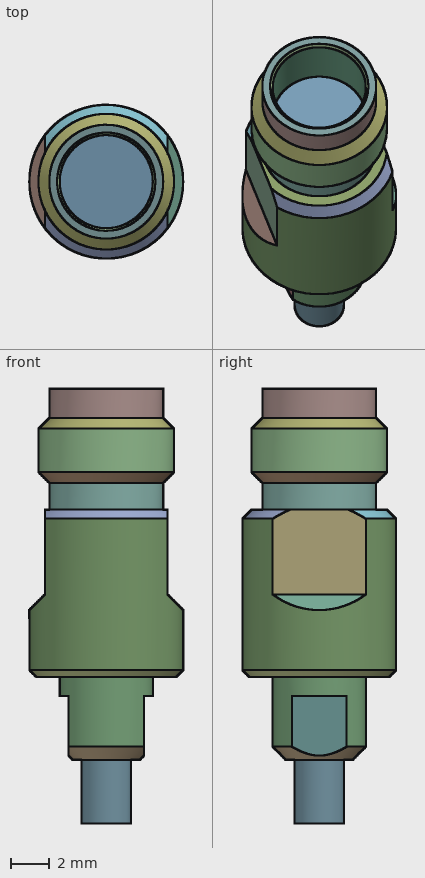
import cadquery as cq

total_height = 22.43
cable_top = 3.3
ferrule_flat_top = 6.57
body_bottom = 7.55
body_flat_bottom = 11.82
body_top = 16.2
collar_bottom = 17.56
collar_top = 20.93

cable_diameter = 2.55
ferrule_diameter = 4.82
body_diameter = 7.95
neck_diameter = 5.88
collar_diameter = 7.0

ferrule_bevel = 0.67
body_bottom_bevel = 0.35
body_top_bevel = 0.47
collar_bevel = (collar_diameter - neck_diameter) / 2

ferrule_across_flats = 3.9
body_across_flats = 6.33

socket_diameter = 4.8
socket_depth = 3.15
socket_bevel = 0.13


def cylinder(diameter, bottom, top):
    return cq.Workplane("XY").workplane(offset=bottom).circle(diameter / 2).extrude(top - bottom)


def cut_ferrule_flats(ferrule):
    """Cut square-ended flats on both X sides."""
    height = ferrule_flat_top - cable_top
    core = cq.Workplane("XY").workplane(offset=cable_top).rect(ferrule_across_flats, ferrule_diameter)
    core = core.extrude(height)
    upper = cylinder(ferrule_diameter, ferrule_flat_top, body_bottom)
    return ferrule.intersect(core.union(upper))


def cut_body_flats(body):
    """Cut flats on both X sides, each running out downward at 45 degrees."""
    inner = body_across_flats / 2
    outer = body_diameter / 2
    flat_profile = [
        (inner, body_top),
        (inner, body_flat_bottom),
        (outer, body_flat_bottom - (outer - inner)),
        (outer, body_top),
    ]
    flat = cq.Workplane("XZ").polyline(flat_profile).close().extrude(outer, both=True)
    return body.cut(flat).cut(flat.mirror("YZ"))


cable = cylinder(cable_diameter, 0, cable_top)

ferrule = cylinder(ferrule_diameter, cable_top, body_bottom).faces("<Z").chamfer(ferrule_bevel)
ferrule = cut_ferrule_flats(ferrule)

body = cylinder(body_diameter, body_bottom, body_top)
body = body.faces("<Z").chamfer(body_bottom_bevel).faces(">Z").chamfer(body_top_bevel)
body = cut_body_flats(body)

neck = cylinder(neck_diameter, body_top, total_height)
collar = cylinder(collar_diameter, collar_bottom, collar_top).faces("<Z or >Z").chamfer(collar_bevel)

socket = cylinder(socket_diameter, total_height - socket_depth, total_height)

result = cable.union(ferrule).union(body).union(neck).union(collar)
result = result.cut(socket)
result = result.faces(">Z").edges(cq.selectors.RadiusNthSelector(0)).chamfer(socket_bevel)